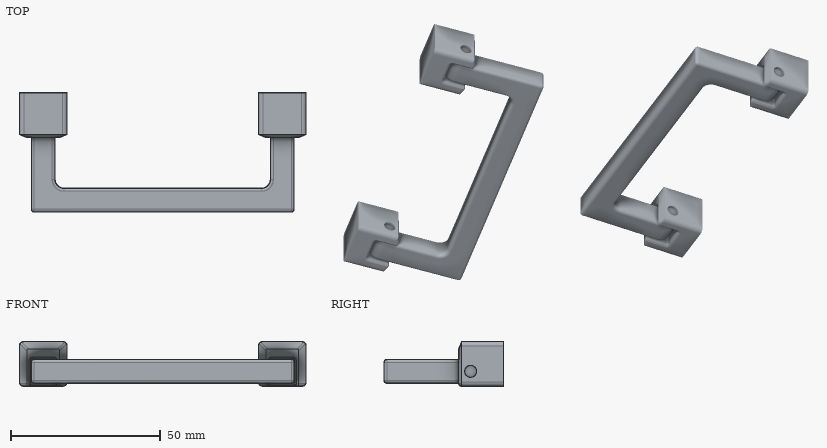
import cadquery as cq
import math

bar_span = 88.0
bar_section = 8.0
bar_reach = 25.0
bar_edge_radius = 1.0
bar_corner_radius = 3.0

block_width = 16.0
block_depth = 15.0
block_height = 15.0
block_edge_radius = 1.5
front_bottom_radius = 1.0
bevel_depth = 1.0
bevel_width = 2.5

clearance = 0.2
pocket_corner_radius = 0.9
mouth_flare = 0.6
mouth_depth = 0.4
mouth_angle = math.degrees(math.atan2(mouth_flare, mouth_depth))

pin_diameter = 4.0
pin_setback = 4.0
pin_recess = 1.0

block_front = -block_depth
block_center = (bar_span - bar_section) / 2
block_centers = (-block_center, block_center)
bar_bottom = 1.0
bar_top = bar_bottom + bar_section
bar_middle = bar_bottom + bar_section / 2
bar_front = block_front - bar_reach
pin_y = block_front + pin_setback
leg_end = pin_y + bar_section / 2
pocket_width = bar_section + 2 * clearance
pocket_top = bar_top + clearance
pocket_end = leg_end + clearance


def box(x_range, y_range, z_range):
    """Box between the given limits."""
    size = [high - low for low, high in (x_range, y_range, z_range)]
    corner = (x_range[0], y_range[0], z_range[0])
    return cq.Workplane("XY").box(*size, centered=False).translate(corner)


def pin_cylinder(center_x, length):
    """Cylinder along X on the hinge axis, centred on a block."""
    return (
        cq.Workplane("YZ", origin=(center_x, pin_y, bar_middle))
        .circle(pin_diameter / 2)
        .extrude(length / 2, both=True)
    )


def make_bar():
    """U-shaped bar with rounded edges and a hinge hole through each leg."""
    half_span = bar_span / 2
    half_gap = half_span - bar_section
    bar = (
        cq.Workplane("YZ")
        .moveTo(bar_front, bar_bottom)
        .lineTo(pin_y, bar_bottom)
        .threePointArc((leg_end, bar_middle), (pin_y, bar_top))
        .lineTo(bar_front, bar_top)
        .close()
        .extrude(half_span, both=True)
    )
    gap = box((-half_gap, half_gap), (bar_front + bar_section, leg_end), (bar_bottom, bar_top))
    gap = gap.edges("|Z and <Y").fillet(bar_corner_radius)
    bar = bar.cut(gap)

    bar = bar.faces("|X or |Y").edges().fillet(bar_edge_radius)
    for center_x in block_centers:
        bar = bar.cut(pin_cylinder(center_x, bar_section))
    return bar


def make_beveled_body():
    """Block-sized body, its front bevelled at the top and sides and rounded at the bottom."""
    half_width = block_width / 2
    front_half_width = half_width - bevel_width
    bevel_start = block_front + bevel_depth
    plan = [
        (-half_width, 0),
        (-half_width, bevel_start),
        (-front_half_width, block_front),
        (front_half_width, block_front),
        (half_width, bevel_start),
        (half_width, 0),
    ]
    side_profile = [
        (0, 0),
        (block_front, 0),
        (block_front, block_height - bevel_width),
        (bevel_start, block_height),
        (0, block_height),
    ]
    body = cq.Workplane("XY").polyline(plan).close().extrude(block_height)
    side_body = cq.Workplane("YZ").polyline(side_profile).close().extrude(half_width, both=True)
    body = body.intersect(side_body)

    body = body.edges("not (#X or #Y or #Z)").fillet(block_edge_radius)
    return body.faces("<Z").edges("not (|Y or >Y)").fillet(front_bottom_radius)


def make_mouth(plane):
    """Flare of the pocket, narrowing along the plane's normal and overrunning the block on one side."""
    rim_width = pocket_width + 2 * mouth_flare
    rim_length = 2 * (pocket_width + mouth_flare)
    return (
        cq.Workplane(plane)
        .sketch()
        .rect(rim_width, rim_length)
        .vertices()
        .fillet(pocket_corner_radius + mouth_flare)
        .finalize()
        .extrude(mouth_depth, taper=mouth_angle)
    )


def make_pocket():
    """Pocket for a leg at X = 0, open to the front and underside so that the leg can fold down."""
    half_width = pocket_width / 2
    pocket = box((-half_width, half_width), (block_front, pocket_end), (0, pocket_top))
    pocket = pocket.edges("|X and >Y and >Z").fillet(pocket_width / 2)
    pocket = pocket.faces(">Z").edges("|Y").fillet(pocket_corner_radius)

    front_middle = (0, block_front, pocket_top - pocket_width)
    bottom_middle = (0, pocket_end - pocket_width, 0)
    front_mouth = make_mouth(cq.Plane(front_middle, xDir=(1, 0, 0), normal=(0, 1, 0)))
    bottom_mouth = make_mouth(cq.Plane(bottom_middle, xDir=(1, 0, 0), normal=(0, 0, 1)))
    return pocket.union(front_mouth).union(bottom_mouth)


def make_block(center_x):
    """Block with rounded sides, a bevelled front, a pocket for the leg and a hinge hole."""
    half_width = block_width / 2
    block = box((-half_width, half_width), (block_front, 0), (0, block_height))
    block = block.edges("|Y").fillet(block_edge_radius).intersect(make_beveled_body())
    block = block.cut(make_pocket()).translate((center_x, 0, 0))
    return block.cut(pin_cylinder(center_x, block_width))


def make_pin(center_x):
    """Hinge pin through a block and its leg, recessed at both ends."""
    return pin_cylinder(center_x, block_width - 2 * pin_recess)


bar = make_bar()
blocks = [make_block(center_x) for center_x in block_centers]
pins = [make_pin(center_x) for center_x in block_centers]

result = cq.Compound.makeCompound([body.val() for body in (bar, *blocks, *pins)])